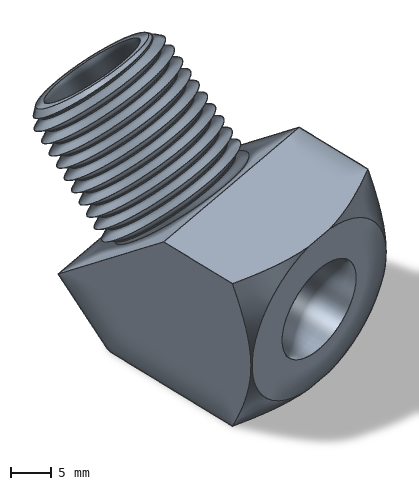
import cadquery as cq
import math

length = 42.85
body_width = 26.0
body_height = 25.4
overall_height = 36.5
face_top_x = 28.55
face_low_z = 8.22
heel_radius = 1.75
chamfer_start_radius = 12.85
chamfer_angle = math.radians(30)

tip_radius = 8.35
bore_radius = 7.1
pitch = 1.815
thread_depth = 1.4
crest_radius = 10.0
crest_offset = 1.65
taper = 1 / 32
flank_slope = math.tan(math.radians(30))
root_overlap = 0.13
stub_embed = 1.7
thread_run_in = 1.5

axis_height = body_height / 2
tip_x = tip_radius / math.sqrt(2)
tip_z = overall_height - tip_x
bend_x = tip_x + tip_z - axis_height
face_low_x = face_top_x - (body_height - face_low_z)
stub_length = (tip_z - tip_x + face_low_x - face_low_z) / math.sqrt(2)
core_length = stub_length + stub_embed
tip_plane = cq.Plane(origin=(tip_x, 0, tip_z), xDir=(1, 0, 1), normal=(1, 0, -1))


def crest_at(z):
    return crest_radius + taper * z


def revolved(points):
    """Turn an (r, z) outline about the Z axis."""
    return cq.Workplane("XZ").polyline(points).close().revolve(360, (0, 0), (0, 1))


def make_body():
    outline = [
        (face_low_x + face_low_z, 0),
        (length, 0),
        (length, body_height),
        (face_top_x, body_height),
        (face_low_x, face_low_z),
    ]
    block = cq.Workplane("XZ").polyline(outline).close().extrude(body_width / 2, both=True)
    heel = cq.selectors.NearestToPointSelector((face_low_x + face_low_z, 0, 0))
    block = block.edges("|Y").edges(heel).fillet(heel_radius)

    end_radius = chamfer_start_radius + length / math.tan(chamfer_angle)
    cone = revolved([(0, 0), (chamfer_start_radius, 0), (end_radius, length), (0, length)])
    end_plane = cq.Plane(origin=(length, 0, axis_height), xDir=(0, 1, 0), normal=(-1, 0, 0))
    return block.intersect(cq.Workplane(cone.val().moved(end_plane.location)))


def make_stub():
    """Threaded stub with its tip at the origin, running along +Z."""
    core = revolved([
        (0, 0),
        (crest_at(0) - thread_depth, 0),
        (crest_at(core_length) - thread_depth, core_length),
        (0, core_length),
    ])
    start = crest_offset - thread_run_in * pitch
    turned_start = 180
    helix_height = stub_length + pitch / 2 - start
    base = crest_at(start) - thread_depth - root_overlap
    ridge_height = thread_depth + root_overlap
    half_width = ridge_height * flank_slope
    helix = cq.Wire.makeHelix(pitch, helix_height, base, angle=math.degrees(math.atan(taper)))
    ridge = (
        cq.Workplane("XZ")
        .polyline([(base, -half_width), (base + ridge_height, 0), (base, half_width)])
        .close()
        .sweep(cq.Workplane(helix), isFrenet=True)
        .rotate((0, 0, 0), (0, 0, 1), turned_start)
        .translate((0, 0, start))
    )
    envelope = revolved([
        (0, 0),
        (tip_radius, 0),
        (tip_radius + core_length, core_length),
        (0, core_length),
    ])
    return core.union(ridge).intersect(envelope)


def make_bores():
    bend = cq.Vector(bend_x, 0, axis_height)
    male_length = (bend - tip_plane.origin).Length
    male = cq.Solid.makeCylinder(bore_radius, male_length, tip_plane.origin, tip_plane.zDir)
    outlet = cq.Solid.makeCylinder(bore_radius, length - bend_x, bend, cq.Vector(1, 0, 0))
    knuckle = cq.Workplane("XY").sphere(bore_radius).translate(bend.toTuple())
    return knuckle.union(cq.Workplane(male)).union(cq.Workplane(outlet))


stub = cq.Workplane(make_stub().val().moved(tip_plane.location))
result = make_body().union(stub).cut(make_bores())